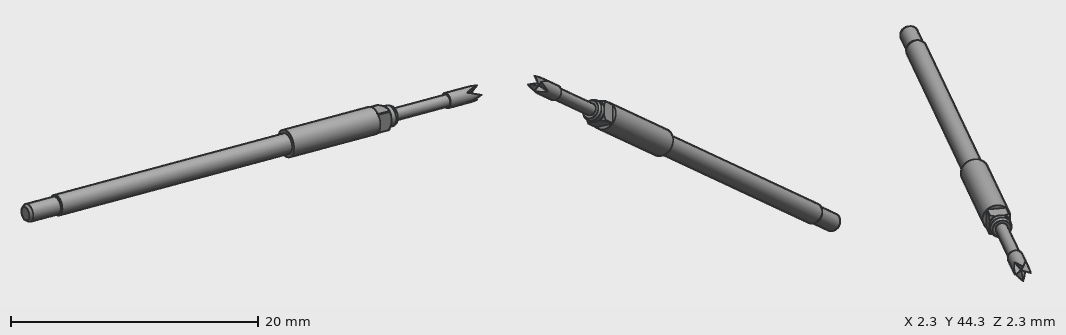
import cadquery as cq
import math

total_length = 44.3

head_diameter = 1.3
stem_diameter = 1.0
collar_diameter = 1.75
sleeve_diameter = 2.3
barrel_diameter = 1.73
tail_diameter = 1.5

tail_end = 2.95
barrel_end = 25.55
flats_start = 34.02
sleeve_end = 35.3
collar_end = 36.0
head_start = 41.3

tail_chamfer_width = 0.18
tail_chamfer_length = 0.25
barrel_chamfer = 0.1
collar_chamfer_width = 0.15
collar_chamfer_length = 0.25
sleeve_chamfer = 0.2

flats_across = 1.7

tooth_count = 4
groove_angle = 60.0
groove_slope = 45.0
groove_reach = 2.65


def stepped_body():
    """Turned body with every diameter step, revolved about Y."""
    tail_radius = tail_diameter / 2
    barrel_radius = barrel_diameter / 2
    sleeve_radius = sleeve_diameter / 2
    collar_radius = collar_diameter / 2
    stem_radius = stem_diameter / 2
    head_radius = head_diameter / 2
    return (
        cq.Workplane("XY")
        .moveTo(0, 0)
        .lineTo(tail_radius - tail_chamfer_width, 0)
        .lineTo(tail_radius, tail_chamfer_length)
        .lineTo(tail_radius, tail_end)
        .lineTo(barrel_radius - barrel_chamfer, tail_end)
        .lineTo(barrel_radius, tail_end + barrel_chamfer)
        .lineTo(barrel_radius, barrel_end)
        .lineTo(sleeve_radius, barrel_end)
        .lineTo(sleeve_radius, sleeve_end - sleeve_chamfer)
        .lineTo(sleeve_radius - sleeve_chamfer, sleeve_end)
        .lineTo(collar_radius, sleeve_end)
        .lineTo(collar_radius, collar_end - collar_chamfer_length)
        .lineTo(collar_radius - collar_chamfer_width, collar_end)
        .lineTo(stem_radius, collar_end)
        .lineTo(stem_radius, head_start)
        .lineTo(head_radius, head_start)
        .lineTo(head_radius, total_length)
        .lineTo(0, total_length)
        .close()
        .revolve(360, (0, 0, 0), (0, 1, 0))
    )


def flats_cutter():
    """Square ring that leaves four flats on the front of the sleeve."""
    flats_length = sleeve_end - flats_start
    return (
        cq.Workplane("XZ", origin=(0, sleeve_end, 0))
        .rect(2 * sleeve_diameter, 2 * sleeve_diameter)
        .rect(flats_across, flats_across)
        .extrude(flats_length)
    )


def crown_groove(direction_angle):
    """V-groove whose bottom leaves the axis in the given direction and falls towards the tail."""
    slope = math.radians(groove_slope)
    half_angle = math.radians(groove_angle / 2)
    direction = math.radians(direction_angle)

    half_tooth = math.pi / tooth_count
    flank_rise = math.sin(half_tooth) / (math.tan(half_angle) * math.cos(slope))
    bottom_fall = math.cos(half_tooth) * math.tan(slope)
    centre_depth = head_diameter / 2 * (flank_rise - bottom_fall)

    outward_x = math.cos(direction)
    outward_z = math.sin(direction)
    section = cq.Plane(
        origin=(0, total_length - centre_depth, 0),
        xDir=(-outward_z, 0, outward_x),
        normal=(outward_x * math.cos(slope), -math.sin(slope), outward_z * math.cos(slope)),
    )
    half_width = groove_reach * math.tan(half_angle)
    return (
        cq.Workplane(section)
        .polyline([(0, 0), (half_width, -groove_reach), (-half_width, -groove_reach)])
        .close()
        .extrude(groove_reach, both=True)
    )


result = stepped_body().cut(flats_cutter())
for tooth in range(tooth_count):
    result = result.cut(crown_groove((tooth + 0.5) * 360 / tooth_count))